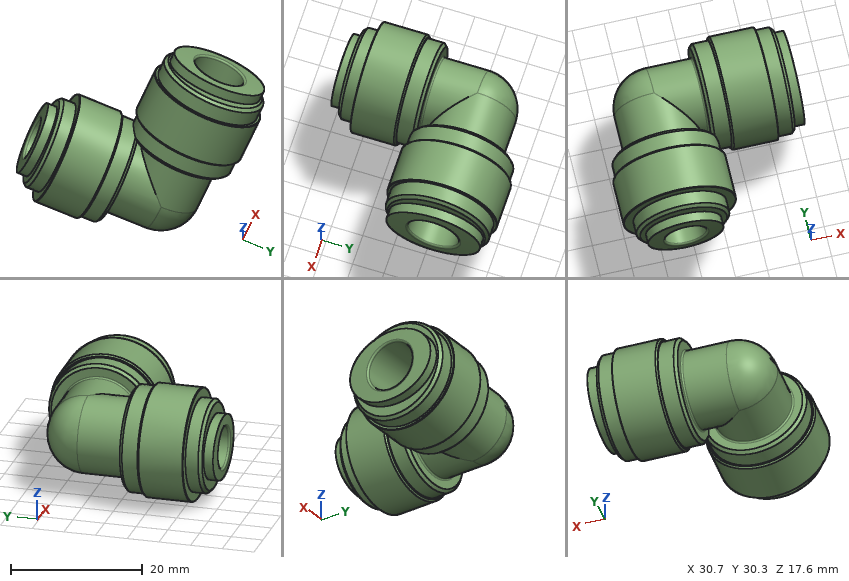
import cadquery as cq


elbow_radius = 6.17
passage_radius = 2.5
neck_fillet = 0.25

collar_start = 7.2
collar_radius = 8.3
collar_chamfer = 0.5
flange_start = 10.2
flange_end = 17.45
flange_radius = 17.6 / 2
flange_front_chamfer = 0.28
flange_back_chamfer = 0.1

socket_stop = flange_start
socket_lip = 0.3


def neck_and_cap(nose_radius, nose_end):
    """Neck, collar, flange and nose as one solid of revolution about X."""
    profile = (
        cq.Workplane("XY")
        .moveTo(0, 0)
        .lineTo(0, elbow_radius)
        .lineTo(collar_start - neck_fillet, elbow_radius)
        .radiusArc((collar_start, elbow_radius + neck_fillet), -neck_fillet)
        .lineTo(collar_start, collar_radius - collar_chamfer)
        .lineTo(collar_start + collar_chamfer, collar_radius)
        .lineTo(flange_start, collar_radius)
        .lineTo(flange_start, flange_radius - flange_front_chamfer)
        .lineTo(flange_start + flange_front_chamfer, flange_radius)
        .lineTo(flange_end - flange_back_chamfer, flange_radius)
        .lineTo(flange_end, flange_radius - flange_back_chamfer)
        .lineTo(flange_end, nose_radius)
        .lineTo(nose_end - collar_chamfer, nose_radius)
        .lineTo(nose_end, nose_radius - collar_chamfer)
        .lineTo(nose_end, 0)
        .close()
    )
    return profile.revolve(360, (0, 0, 0), (1, 0, 0))


def collet(half_width, half_height, rim_radius, start, edge_reach, rim_reach):
    """Oval release collet whose end face rises slightly from its edge to the round rim."""
    oval = cq.Workplane("YZ").workplane(offset=start).ellipse(half_width, half_height)
    barrel = oval.extrude(edge_reach - start)
    end_face = (
        cq.Workplane("YZ")
        .workplane(offset=edge_reach)
        .ellipse(half_width, half_height)
        .workplane(offset=rim_reach - edge_reach)
        .circle(rim_radius)
        .loft(ruled=True)
    )
    return barrel.union(end_face)


def port_cavity(socket_radius, rim_reach):
    """Narrow passage, tube socket and rounded lip as one solid of revolution about X."""
    profile = (
        cq.Workplane("XY")
        .moveTo(0, 0)
        .lineTo(0, passage_radius)
        .lineTo(socket_stop, passage_radius)
        .lineTo(socket_stop, socket_radius)
        .lineTo(rim_reach - socket_lip, socket_radius)
        .radiusArc((rim_reach, socket_radius + socket_lip), -socket_lip)
        .lineTo(rim_reach, 0)
        .close()
    )
    return profile.revolve(360, (0, 0, 0), (1, 0, 0))


def port(nose_radius, nose_end, half_width, half_height, edge_reach, rim_reach, socket_radius):
    """Outer solid and inner cavity of one port."""
    rim_radius = socket_radius + socket_lip
    outer = neck_and_cap(nose_radius, nose_end).union(
        collet(half_width, half_height, rim_radius, nose_end, edge_reach, rim_reach)
    )
    return outer, port_cavity(socket_radius, rim_reach)


def turn_to_minus_y(solid):
    return solid.rotate((0, 0, 0), (0, 0, 1), -90)


large_outer, large_cavity = port(
    nose_radius=collar_radius,
    nose_end=20.2,
    half_width=7.5,
    half_height=6.02,
    edge_reach=21.8,
    rim_reach=30.7 - flange_radius,
    socket_radius=4.08,
)
small_outer, small_cavity = port(
    nose_radius=7.28,
    nose_end=19.92,
    half_width=5.9,
    half_height=5.0,
    edge_reach=21.4,
    rim_reach=30.3 - flange_radius,
    socket_radius=3.25,
)

body = (
    cq.Workplane("XY")
    .sphere(elbow_radius)
    .union(large_outer)
    .union(turn_to_minus_y(small_outer))
)
cavity = (
    cq.Workplane("XY")
    .sphere(passage_radius)
    .union(large_cavity)
    .union(turn_to_minus_y(small_cavity))
)

result = body.cut(cavity)